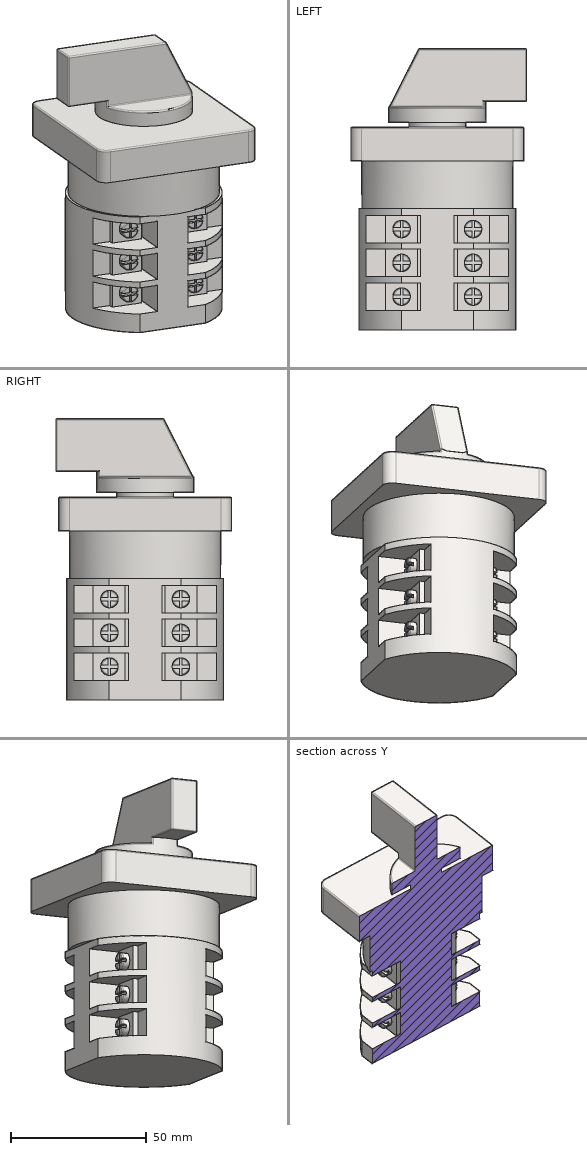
import cadquery as cq

body_radius = 29.0
body_half_width = 25.8
body_top = 45.0

collar_radius = 28.0
collar_top = 62.5

plate_width = 64.0
plate_top = 75.0
plate_corner_radius = 4.0
plate_edge_radius = 0.5

neck_radius = 10.5
disc_bottom = 76.8
disc_top = 82.5
disc_radius = 18.0
lever_width = 10.6
lever_top = 104.0
overall_depth = 65.0
lever_front = plate_width / 2 - overall_depth
lever_underside = 84.5
lever_back_top = 6.9
knob_edge_radius = 0.5
knob_fine_radius = 0.3

tolerance = 0.01

pocket_levels = 3
pocket_pitch = 12.5
pocket_height = 10.2
first_pocket_bottom = 7.3
pocket_floor = 12.3
pocket_inner_y = 6.2
terminal_face = 14.2
terminal_inner_y = 7.4
terminal_outer_y = 19.2

screw_y = 13.2
screw_radius = 3.2
screw_head_height = 2.9
screw_edge_radius = 0.4
slot_depth = 1.5
flat_slot_width = 1.2
upright_slot_width = 0.9


def cylinder(radius, bottom, top):
    """Upright cylinder on the part axis between two heights."""
    return cq.Workplane("XY").workplane(offset=bottom).circle(radius).extrude(top - bottom)


def box_between(x_range, y_range, z_range):
    """Box filling the given ranges along X, Y and Z."""
    sizes = [high - low for low, high in (x_range, y_range, z_range)]
    corner = (x_range[0], y_range[0], z_range[0])
    return cq.Workplane("XY").box(*sizes, centered=False).translate(corner)


def terminal_screw(center_z):
    """Screw head on the terminal face, pointing along +X, with a cross slot."""
    head = (
        cq.Workplane("YZ", origin=(terminal_face, screw_y, center_z))
        .circle(screw_radius)
        .extrude(screw_head_height)
        .faces(">X")
        .edges()
        .fillet(screw_edge_radius)
    )
    slot_plane = cq.Workplane(
        "YZ", origin=(terminal_face + screw_head_height - slot_depth, screw_y, center_z)
    )
    flat_slot = slot_plane.rect(2 * screw_radius, flat_slot_width).extrude(slot_depth)
    upright_slot = slot_plane.rect(upright_slot_width, 2 * screw_radius).extrude(slot_depth)
    return head.cut(flat_slot).cut(upright_slot)


def terminal_recess(bottom):
    """Material removed for one terminal in the +X, +Y corner, leaving block and screw."""
    z_range = (bottom, bottom + pocket_height)
    pocket = box_between((pocket_floor, body_radius), (pocket_inner_y, body_radius), z_range)
    terminal = box_between((pocket_floor, terminal_face), (terminal_inner_y, terminal_outer_y), z_range)
    return pocket.cut(terminal).cut(terminal_screw(bottom + pocket_height / 2))


def contact_block():
    """Flatted round body with terminals in its four corners."""
    flats = box_between(
        (-body_half_width, body_half_width), (-body_radius, body_radius), (0, body_top)
    )
    block = cylinder(body_radius, 0, body_top).intersect(flats)
    for level in range(pocket_levels):
        recess = terminal_recess(first_pocket_bottom + level * pocket_pitch)
        opposite = recess.mirror("YZ")
        for corner in (recess, opposite, recess.mirror("XZ"), opposite.mirror("XZ")):
            block = block.cut(corner)
    return block


def front_plate():
    """Square plate with rounded corners and a softened top edge."""
    return (
        cq.Workplane("XY")
        .workplane(offset=collar_top)
        .rect(plate_width, plate_width)
        .extrude(plate_top - collar_top)
        .edges("|Z")
        .fillet(plate_corner_radius)
        .faces(">Z")
        .edges()
        .fillet(plate_edge_radius)
    )


def is_joint(edge):
    """True for the two straight edges where the lever sides meet the disc top."""
    center = edge.Center()
    on_disc_top = abs(center.z - disc_top) < tolerance
    return on_disc_top and edge.geomType() == "LINE" and abs(abs(center.x) - lever_width / 2) < tolerance


def is_overhang_edge(edge):
    """True for the outer bottom edges of the lever in front of the disc."""
    center = edge.Center()
    return abs(center.z - lever_underside) < tolerance and center.y < -disc_radius


def is_outer_edge(edge):
    """True for the disc rim and the lever's side and top edges."""
    center = edge.Center()
    above_disc = center.z > disc_top - tolerance
    on_underside = abs(center.z - lever_underside) < tolerance
    on_side_or_rim = abs(center.x) > lever_width / 2 - tolerance
    on_top = center.z > lever_top - tolerance
    return above_disc and not on_underside and not is_joint(edge) and (on_side_or_rim or on_top)


def round_edges(body, belongs, radius):
    """Fillet every edge of the body that belongs to the named group."""
    return body.newObject([edge for edge in body.edges().vals() if belongs(edge)]).fillet(radius)


def knob():
    """Disc carrying a lever that slopes at the back and overhangs at the front."""
    slope_foot = disc_top - knob_edge_radius
    lever = (
        cq.Workplane("YZ")
        .polyline(
            [
                (-disc_radius, slope_foot),
                (disc_radius, slope_foot),
                (lever_back_top, lever_top),
                (lever_front, lever_top),
                (lever_front, lever_underside),
                (-disc_radius, lever_underside),
            ]
        )
        .close()
        .extrude(lever_width / 2, both=True)
    )
    foot = lever.intersect(cylinder(disc_radius, disc_bottom, lever_underside))
    blade = lever.intersect(
        box_between(
            (-lever_width, lever_width), (lever_front, disc_radius), (lever_underside, lever_top)
        )
    )
    body = cylinder(disc_radius, disc_bottom, disc_top).union(foot).union(blade)
    body = round_edges(body, is_outer_edge, knob_edge_radius)
    body = round_edges(body, is_joint, knob_fine_radius)
    return round_edges(body, is_overhang_edge, knob_fine_radius)


result = (
    contact_block()
    .union(cylinder(collar_radius, body_top, collar_top))
    .union(front_plate())
    .union(cylinder(neck_radius, plate_top, disc_bottom))
    .union(knob())
)